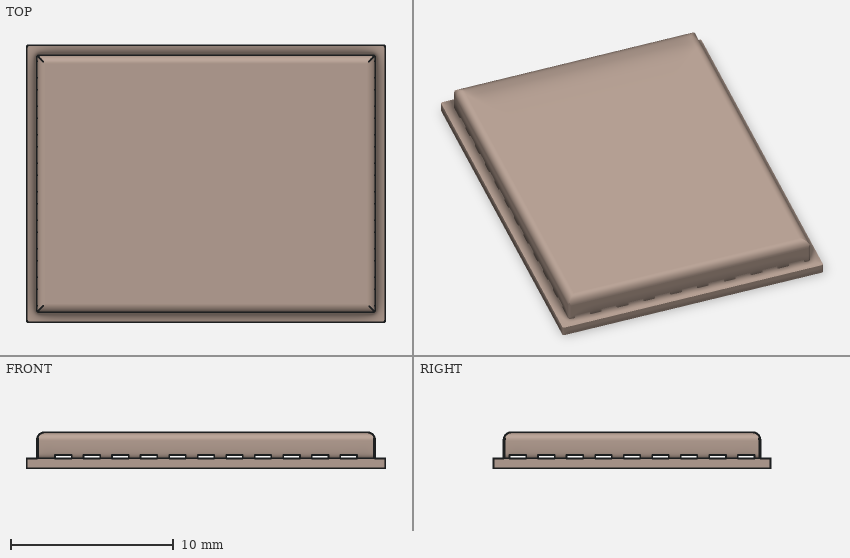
import cadquery as cq

board_length = 22.0
board_width = 17.0
board_thickness = 0.62
board_corner_radius = 0.1

overall_height = 2.22
shield_margin = 0.62
shield_length = board_length - 2 * shield_margin
shield_width = board_width - 2 * shield_margin
shield_height = overall_height - board_thickness
shield_wall = 0.09
shield_corner_radius = 0.15
shield_top_radius = 0.5

notch_length = 1.01
notch_height = 0.2
notches_along_length = 11
notches_along_width = 9
notch_row_length = 17.5
notch_pitch = notch_row_length / (notches_along_length - 1)


def block(length, width, height):
    """Block standing on z = 0, centred in X and Y."""
    return cq.Workplane("XY").box(length, width, height, centered=(True, True, False))


def round_topped_block(length, width, height, top_radius):
    """Block whose rounded top edges meet in mitres at the corners."""
    return block(length, width, height).faces(">Z").edges().fillet(top_radius)


def make_board():
    sharp_board = block(board_length, board_width, board_thickness)
    return sharp_board.edges("|Z").fillet(board_corner_radius)


def make_notch_cutters():
    """Bars crossing the whole can, so that each one notches two opposite walls."""
    along_length = (
        cq.Workplane("XY")
        .rarray(notch_pitch, 0.22, notches_along_length, 1)
        .rect(notch_length, board_width)
        .extrude(notch_height)
    )
    along_width = (
        cq.Workplane("XY")
        .rarray(0.22, notch_pitch, 1, notches_along_width)
        .rect(board_length, notch_length)
        .extrude(notch_height)
    )
    return along_length.union(along_width)


def make_shield():
    """Thin-walled can with a rounded top rim, rounded corners and notched walls."""
    mitred_can = round_topped_block(shield_length, shield_width, shield_height, shield_top_radius)
    corner_trim = block(shield_length, shield_width, shield_height).edges("|Z").fillet(shield_corner_radius)
    cavity = round_topped_block(
        shield_length - 2 * shield_wall,
        shield_width - 2 * shield_wall,
        shield_height - shield_wall,
        shield_top_radius - shield_wall,
    )
    can = mitred_can.intersect(corner_trim).cut(cavity).cut(make_notch_cutters())
    return can.translate((0, 0, board_thickness))


board = make_board()
shield = make_shield()

result = cq.Compound.makeCompound([board.val(), shield.val()])